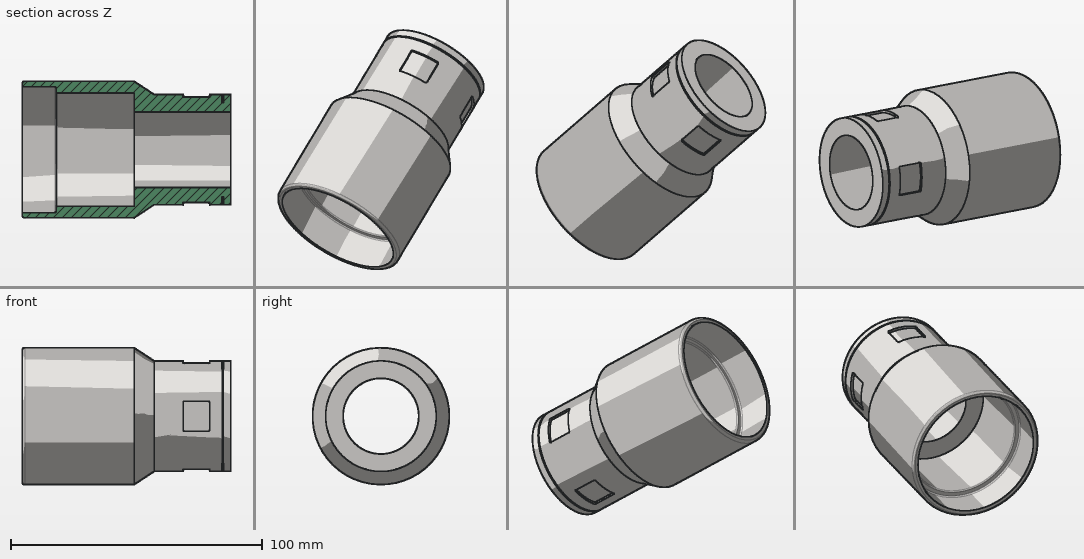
import cadquery as cq

TOTAL_LENGTH = 83.0
BODY_LENGTH = 44.5
CONE_LENGTH = 8.0
CONE_END = BODY_LENGTH + CONE_LENGTH

BODY_DIAMETER = 54.5
NECK_DIAMETER = 44.0
MOUTH_FILLET = 1.0

SOCKET_DIAMETER = 50.0
SOCKET_DEPTH = 13.5
CHAMBER_DIAMETER = 45.0
CHAMBER_END = BODY_LENGTH
BORE_DIAMETER = 30.0
SHOULDER_FILLET = 0.5

GROOVE_START = 79.5
GROOVE_WIDTH = 0.5
GROOVE_FLOOR_DIAMETER = 37.5

RECESS_COUNT = 4
RECESS_START = 64.0
RECESS_LENGTH = 10.5
RECESS_WIDTH = 12.0
RECESS_FLOOR_DIAMETER = 42.0
RECESS_CORNER_RADIUS = 0.5


def cylinder(start, length, diameter):
    """Solid cylinder on the X axis, running from start in +X."""
    return cq.Workplane("YZ", origin=(start, 0, 0)).circle(diameter / 2).extrude(length)


def outer_body():
    """Wide body, cone and neck, with the mouth's outer edge rounded."""
    body_radius = BODY_DIAMETER / 2
    neck_radius = NECK_DIAMETER / 2
    profile = (
        cq.Workplane("XY")
        .lineTo(0, body_radius)
        .lineTo(BODY_LENGTH, body_radius)
        .lineTo(CONE_END, neck_radius)
        .lineTo(TOTAL_LENGTH, neck_radius)
        .lineTo(TOTAL_LENGTH, 0)
        .close()
    )
    solid = profile.revolve(360, (0, 0, 0), (1, 0, 0))
    return solid.faces("<X").edges().fillet(MOUTH_FILLET)


def cavity():
    """Socket, chamber and through bore, with both shoulder corners rounded."""
    socket_radius = SOCKET_DIAMETER / 2
    chamber_radius = CHAMBER_DIAMETER / 2
    bore_radius = BORE_DIAMETER / 2
    root_start = SOCKET_DEPTH - SHOULDER_FILLET
    lip_end = SOCKET_DEPTH + SHOULDER_FILLET
    profile = (
        cq.Workplane("XY")
        .lineTo(0, socket_radius)
        .lineTo(root_start, socket_radius)
        .tangentArcPoint((SOCKET_DEPTH, socket_radius - SHOULDER_FILLET), relative=False)
        .lineTo(SOCKET_DEPTH, chamber_radius + SHOULDER_FILLET)
        .tangentArcPoint((lip_end, chamber_radius), relative=False)
        .lineTo(CHAMBER_END, chamber_radius)
        .lineTo(CHAMBER_END, bore_radius)
        .lineTo(TOTAL_LENGTH, bore_radius)
        .lineTo(TOTAL_LENGTH, 0)
        .close()
    )
    return profile.revolve(360, (0, 0, 0), (1, 0, 0))


def ring_groove():
    """Ring of material removed to form the groove."""
    ring = cylinder(GROOVE_START, GROOVE_WIDTH, BODY_DIAMETER)
    return ring.cut(cylinder(GROOVE_START, GROOVE_WIDTH, GROOVE_FLOOR_DIAMETER))


def neck_recess(angle):
    """Parallel-sided recess with rounded corners and a round floor, turned by angle about the X axis."""
    height = BODY_DIAMETER / 2
    block = cq.Workplane("XY").box(RECESS_LENGTH, RECESS_WIDTH, height, centered=(False, True, False))
    block = block.edges("|Z").fillet(RECESS_CORNER_RADIUS)
    block = block.translate((RECESS_START, 0, 0))
    recess = block.cut(cylinder(RECESS_START, RECESS_LENGTH, RECESS_FLOOR_DIAMETER))
    return recess.rotate((0, 0, 0), (1, 0, 0), angle)


result = outer_body().cut(cavity()).cut(ring_groove())
for index in range(RECESS_COUNT):
    result = result.cut(neck_recess(index * 360 / RECESS_COUNT))